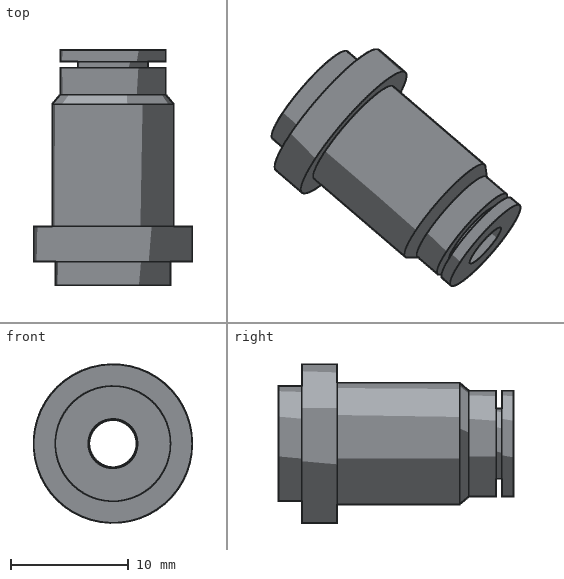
import cadquery as cq

total_length = 20.0
spigot_length = 2.0
flange_thickness = 3.0
body_length = 10.4
shoulder_length = 0.8
rear_disc_thickness = 1.0
groove_width = 0.5

spigot_diameter = 9.8
flange_diameter = 13.5
body_diameter = 10.35
neck_diameter = 9.0
groove_diameter = 6.0
bore_diameter = 4.0
counterbore_diameter = 4.2
counterbore_depth = 2.0

flange_front = spigot_length
flange_rear = flange_front + flange_thickness
body_rear = flange_rear + body_length
neck_front = body_rear + shoulder_length
groove_rear = total_length - rear_disc_thickness
groove_front = groove_rear - groove_width


def cylinder(diameter, start, end):
    """Solid cylinder on the Y axis between two stations."""
    plane = cq.Plane(origin=(0, start, 0), xDir=(1, 0, 0), normal=(0, 1, 0))
    return cq.Workplane(plane).circle(diameter / 2).extrude(end - start)


def outer_body():
    """Stepped outside shape, revolved about the Y axis."""
    profile = (
        cq.Workplane("XY")
        .moveTo(0, 0)
        .lineTo(spigot_diameter / 2, 0)
        .lineTo(spigot_diameter / 2, flange_front)
        .lineTo(flange_diameter / 2, flange_front)
        .lineTo(flange_diameter / 2, flange_rear)
        .lineTo(body_diameter / 2, flange_rear)
        .lineTo(body_diameter / 2, body_rear)
        .lineTo(neck_diameter / 2, neck_front)
        .lineTo(neck_diameter / 2, groove_front)
        .lineTo(groove_diameter / 2, groove_front)
        .lineTo(groove_diameter / 2, groove_rear)
        .lineTo(neck_diameter / 2, groove_rear)
        .lineTo(neck_diameter / 2, total_length)
        .lineTo(0, total_length)
        .close()
    )
    return profile.revolve(360, (0, 0, 0), (0, 1, 0))


bore = cylinder(bore_diameter, 0, total_length)
counterbore = cylinder(counterbore_diameter, 0, counterbore_depth)

result = outer_body().cut(bore).cut(counterbore)